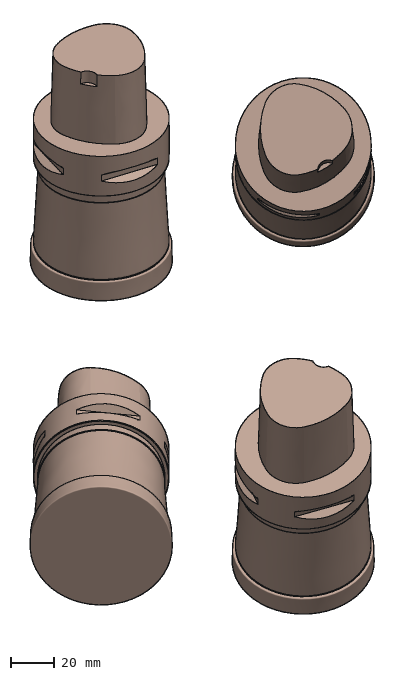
import cadquery as cq
import math

TOTAL_HEIGHT = 118.0
FLANGE_TOP = 80.2
FLANGE_BOTTOM = 57.7
NECK_SHOULDER = 56.9
NECK_BOTTOM = 53.1
CONE_TOP = 52.6
CONE_BOTTOM = 11.9
RIM_BOTTOM = 11.0
COLLAR_HEIGHT = 10.4

FLANGE_DIAMETER = 63.0
NECK_DIAMETER = 59.2
RELIEF_DIAMETER = 58.8
FLANGE_CHAMFER = 0.4
RIM_STEP = 0.4

COLLAR_DIAMETER = 66.0
COLLAR_TOP_DIAMETER = 65.5
COLLAR_LAND = 0.6
COLLAR_ROUNDING = 0.5

LOBE_REACH = 23.6
FLANK_REACH = 20.8
FLANK_RADIUS = 35.8
LOBE_COUNT = 3
SHANK_SLOPE = 1 / 40

NOTCH_RADIUS = 5.0
NOTCH_DEPTH = 6.5
NOTCH_REACH = 17.7

GROOVE_COUNT = 4
GROOVE_FIRST_ANGLE = 45.0
GROOVE_CENTER_Z = 68.1
GROOVE_FLOOR_HEIGHT = 3.4
GROOVE_FLOOR_REACH = 27.9
GROOVE_WALL_ANGLE = 30.0
GROOVE_OVERCUT = 1.2


def polar(distance, angle):
    """Point at a distance from the axis, with the angle in degrees."""
    return (distance * math.cos(math.radians(angle)), distance * math.sin(math.radians(angle)))


def make_turned_body():
    flange_radius = FLANGE_DIAMETER / 2
    neck_radius = NECK_DIAMETER / 2
    relief_radius = RELIEF_DIAMETER / 2
    rim_radius = flange_radius - RIM_STEP
    return (
        cq.Workplane("XZ")
        .moveTo(0, COLLAR_HEIGHT)
        .lineTo(rim_radius, COLLAR_HEIGHT)
        .lineTo(rim_radius, RIM_BOTTOM)
        .lineTo(flange_radius, RIM_BOTTOM)
        .lineTo(flange_radius, CONE_BOTTOM)
        .lineTo(relief_radius, CONE_TOP)
        .lineTo(neck_radius, NECK_BOTTOM)
        .lineTo(neck_radius, NECK_SHOULDER)
        .lineTo(relief_radius, FLANGE_BOTTOM)
        .lineTo(flange_radius - FLANGE_CHAMFER, FLANGE_BOTTOM)
        .lineTo(flange_radius, FLANGE_BOTTOM + FLANGE_CHAMFER)
        .lineTo(flange_radius, FLANGE_TOP)
        .lineTo(0, FLANGE_TOP)
        .close()
        .revolve(360, (0, 0, 0), (0, 1, 0))
    )


def shank_section(inset, height):
    """Closed three-lobed wire, moved inward by the inset."""
    flank_center = FLANK_RADIUS - FLANK_REACH
    reach_difference = LOBE_REACH - FLANK_REACH
    lobe_center = reach_difference * (2 * flank_center - reach_difference) / (
        flank_center - 2 * reach_difference
    )
    lobe_radius = LOBE_REACH - lobe_center - inset
    half_pitch = 180 / LOBE_COUNT
    pitch = 2 * half_pitch

    normal_angle = math.degrees(math.atan2(
        flank_center * math.sin(math.radians(half_pitch)),
        lobe_center + flank_center * math.cos(math.radians(half_pitch)),
    ))

    def joint(lobe_angle, side):
        center = polar(lobe_center, lobe_angle)
        offset = polar(lobe_radius, lobe_angle + side * normal_angle)
        return (center[0] + offset[0], center[1] + offset[1])

    first_lobe = 90
    section = cq.Workplane("XY", origin=(0, 0, height)).moveTo(*joint(first_lobe, -1))
    for index in range(LOBE_COUNT):
        angle = first_lobe + index * pitch
        section = section.threePointArc(polar(LOBE_REACH - inset, angle), joint(angle, 1))
        flank_middle = polar(FLANK_REACH - inset, angle + half_pitch)
        section = section.threePointArc(flank_middle, joint(angle + pitch, -1))
    return section.close().val()


def make_shank():
    top_inset = (TOTAL_HEIGHT - FLANGE_TOP) * SHANK_SLOPE
    sections = [shank_section(0, FLANGE_TOP), shank_section(top_inset, TOTAL_HEIGHT)]
    return cq.Workplane(cq.Solid.makeLoft(sections, True))


def make_notch():
    return (
        cq.Workplane("XY", origin=(0, -NOTCH_REACH - NOTCH_RADIUS, TOTAL_HEIGHT - NOTCH_DEPTH))
        .circle(NOTCH_RADIUS)
        .extrude(NOTCH_DEPTH)
    )


def make_groove():
    """Straight trapezoidal cutter on the +X side, opening outward."""
    outer_reach = FLANGE_DIAMETER / 2 + GROOVE_OVERCUT
    flare = (outer_reach - GROOVE_FLOOR_REACH) * math.tan(math.radians(GROOVE_WALL_ANGLE))
    floor_half = GROOVE_FLOOR_HEIGHT / 2
    mouth_half = floor_half + flare
    return (
        cq.Workplane("XZ", origin=(0, 0, GROOVE_CENTER_Z))
        .polyline([
            (GROOVE_FLOOR_REACH, -floor_half),
            (outer_reach, -mouth_half),
            (outer_reach, mouth_half),
            (GROOVE_FLOOR_REACH, floor_half),
        ])
        .close()
        .extrude(FLANGE_DIAMETER / 2, both=True)
    )


def make_holder():
    holder = make_turned_body().union(make_shank()).cut(make_notch())
    groove = make_groove()
    for index in range(GROOVE_COUNT):
        angle = GROOVE_FIRST_ANGLE + index * 360 / GROOVE_COUNT
        holder = holder.cut(groove.rotate((0, 0, 0), (0, 0, 1), angle))
    return holder


def make_collar():
    outer_radius = COLLAR_DIAMETER / 2
    return (
        cq.Workplane("XZ")
        .lineTo(outer_radius, 0)
        .lineTo(outer_radius, COLLAR_ROUNDING + COLLAR_LAND)
        .lineTo(COLLAR_TOP_DIAMETER / 2, COLLAR_HEIGHT)
        .lineTo(0, COLLAR_HEIGHT)
        .close()
        .revolve(360, (0, 0, 0), (0, 1, 0))
        .faces("<Z or >Z")
        .edges()
        .fillet(COLLAR_ROUNDING)
    )


holder = make_holder()
collar = make_collar()
result = cq.Compound.makeCompound([holder.val(), collar.val()])